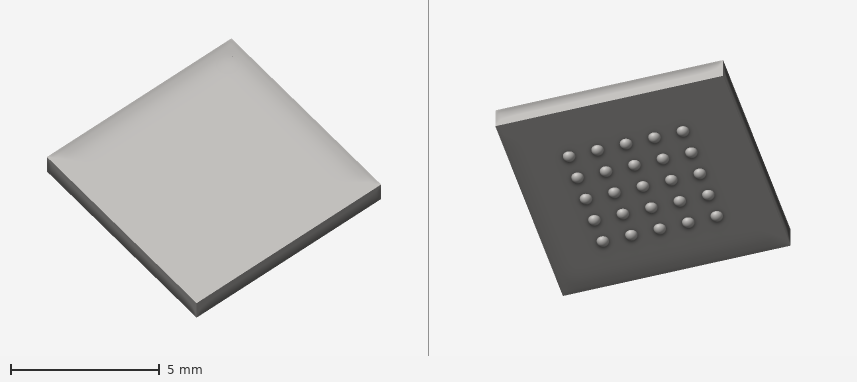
import cadquery as cq

body_side = 8.0
total_height = 1.01
body_thickness = 0.8

balls_per_side = 5
ball_pitch = 1.0
ball_diameter = 0.43
ball_center_z = ball_diameter / 2

marker_diameter = 0.8
marker_inset = 0.8
marker_depth = 0.002

body_bottom = total_height - body_thickness


def make_body():
    """Square plate resting on top of the solder balls."""
    return (
        cq.Workplane("XY")
        .workplane(offset=body_bottom)
        .rect(body_side, body_side)
        .extrude(body_thickness)
    )


def make_balls():
    """Square grid of solder balls centred under the body."""
    return (
        cq.Workplane("XY")
        .workplane(offset=ball_center_z)
        .rarray(ball_pitch, ball_pitch, balls_per_side, balls_per_side)
        .sphere(ball_diameter / 2)
    )


def make_marker():
    """Disc removed from the top face near the -X, +Y corner."""
    marker_offset = body_side / 2 - marker_inset
    return (
        cq.Workplane("XY")
        .workplane(offset=total_height - marker_depth)
        .center(-marker_offset, marker_offset)
        .circle(marker_diameter / 2)
        .extrude(marker_depth)
    )


result = make_body().union(make_balls()).cut(make_marker())